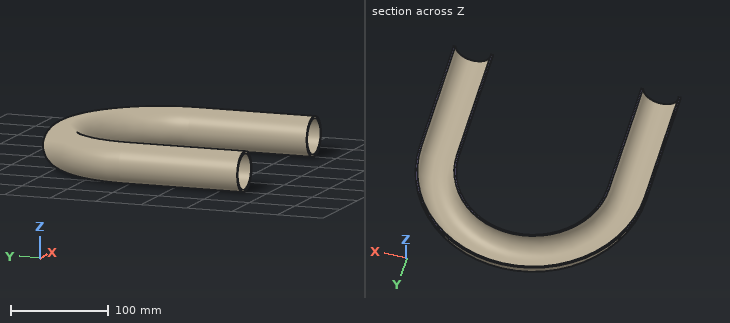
import cadquery as cq

OUTER_DIAMETER = 42.4
INNER_DIAMETER = 37.4
BEND_RADIUS = 100.0
LEG_LENGTH = 130.0


def centreline():
    """U-shaped path in the XY plane, bend centred on the origin, legs along -Y."""
    return (
        cq.Workplane("XY")
        .moveTo(-BEND_RADIUS, -LEG_LENGTH)
        .lineTo(-BEND_RADIUS, 0)
        .threePointArc((0, BEND_RADIUS), (BEND_RADIUS, 0))
        .lineTo(BEND_RADIUS, -LEG_LENGTH)
    )


def u_tube():
    """Ring-shaped tube section swept along the centreline."""
    section_plane = cq.Plane(
        origin=(-BEND_RADIUS, -LEG_LENGTH, 0), xDir=(1, 0, 0), normal=(0, 1, 0)
    )
    return (
        cq.Workplane(section_plane)
        .circle(OUTER_DIAMETER / 2)
        .circle(INNER_DIAMETER / 2)
        .sweep(centreline())
    )


result = u_tube()